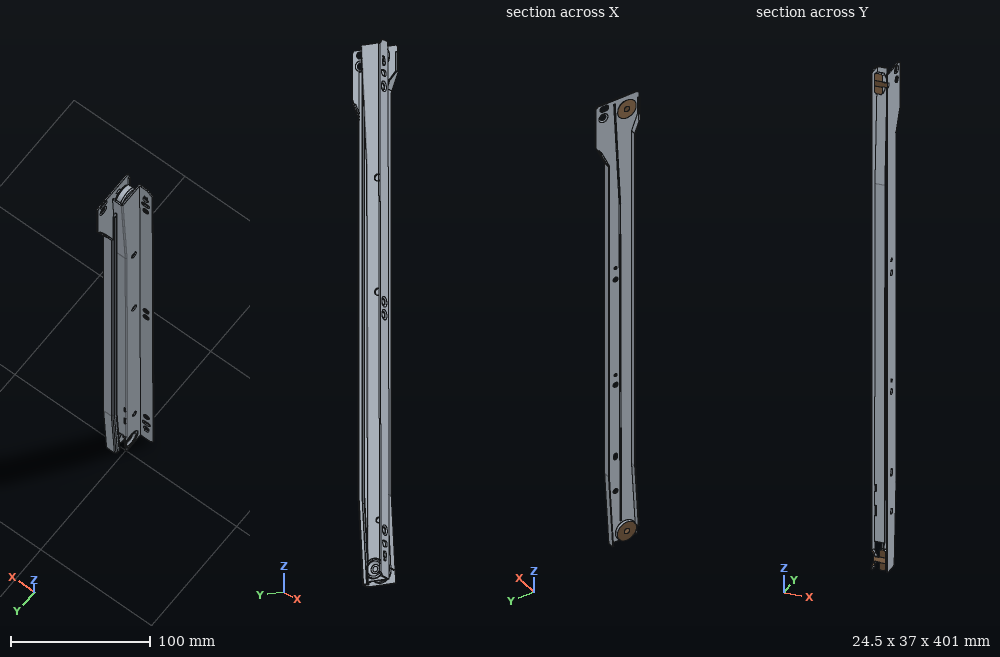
import cadquery as cq


SHEET = 1.2
LENGTH = 401.0
RAIL_START = 0.5
MID_Z = LENGTH / 2

FLANGE_Y = 1.2
WALL_X = 11.2
WALL_INNER_X = WALL_X + SHEET
LIP_X = 20.0
LIP_LOW_Y = 18.5
LIP_HIGH_Y = 23.0
LIP_RAMP_Z = 309.0
LIP_START_Z = 21.3
NIB_Z = 0.0
NIB_WIDTH = 2.0
LIP_BEND_RADIUS = 1.0
UPPER_CORNER = 4.5
LOWER_CORNER = 2.5
DRAWER_TILT = 0.14
DRAWER_TOP = 400.8

FLANGE_HOLE_X = 6.0
SCREW_RADIUS = 2.5
SINK_RADIUS = 3.8
SCREW_OFFSETS = (5.0, 165.3)
SLOT_OFFSET = 175.5
SLOT_LENGTH = 7.0
SLOT_WIDTH = 4.5
KEYHOLE_OFFSET = 183.5
KEYHOLE_RADIUS = 2.5
KEYHOLE_SLOT_WIDTH = 3.0
KEYHOLE_SLOT_LENGTH = 4.5

WALL_HOLES = ((9.2, 300.5, 2.6), (9.2, 215.5, 2.6), (9.2, 45.5, 2.0))
LIP_WINDOWS = ((64.0, 5.2), (46.0, 8.0))
LIP_WINDOW_WIDTH = 1.2

DISH_RIM_RADIUS = 7.5
DISH_RIM_DEPTH = 0.5
DISH_RADIUS = 5.5
DISH_FLOOR_RADIUS = 3.4
DISH_DEPTH = 2.0

ROLLER_Y = 13.0
ROLLER_RADIUS = 8.5
ROLLER_CHAMFER = 1.2
AXLE_RADIUS = 2.0
DRAWER_ROLLER_Z = 9.5
DRAWER_ROLLER_X = 17.5
DRAWER_ROLLER_WIDTH = 5.2
CABINET_ROLLER_Z = 392.5
CABINET_ROLLER_X = 14.0
CABINET_ROLLER_WIDTH = 6.5

WIDTH = 24.5
PLATE_X = WIDTH - SHEET
TOP_Y = 29.0
BOTTOM_Y = 5.2
HEAD_Y = 37.0
HEAD_END_Z = 364.5
HEAD_TAPER_END_Z = 347.0
HEAD_CORNER = 1.5
FOOT_Z = 381.0
FOOT_RAMP_Z = 367.5
FOOT_NARROWING_Z = 373.0
FOOT_FLANGE_X = 22.0
FOOT_FLANGE_TOP_Z = 395.5
PLATE_BEND_RADIUS = 1.2
BEND_Z = 65.8
BEND_DROP = 3.5
LOWER_FLANGE_X = 17.0
LOWER_FLANGE_START_Z = 10.0
UPPER_LIP_X = 15.5
UPPER_LIP_Y = 25.0
UPPER_LIP_TOP_Z = 382.5
UPPER_LIP_CURL = 1.2
UPPER_BEVEL = 1.5
HEAD_FLANGE_X = 20.0
HEAD_FLANGE_TOP_Y = 35.5

HEAD_SLOT_Y = 29.5
HEAD_SLOT_Z = 397.0
HEAD_SLOT_LENGTH = 7.2
HEAD_SLOT_WIDTH = 5.0
HEAD_SCREW_Y = 30.5
HEAD_SCREW_Z = 389.0
PLATE_HOLE_Y = 20.0
PLATE_HOLE_RADIUS = 2.0
PLATE_HOLE_ZS = (238.5, 143.0, 46.5)
PIN_HOLE_RADIUS = 1.2
PIN_HOLE_ZS = (248.7, 151.5)
PLATE_SLOT_Z = 78.0
PLATE_SLOT_LENGTH = 5.5
PLATE_SLOT_WIDTH = 3.0


def side_panel(points, x_start, x_end):
    """Extrude a (y, z) outline from x_start to x_end."""
    return cq.Workplane("YZ", origin=(x_start, 0, 0)).polyline(points).close().extrude(x_end - x_start)


def side_strip(path, x_start, x_end, height=SHEET):
    """Extrude a band whose lower edge is a (y, z) path and whose upper edge lies height above it."""
    upper = [(y + height, z) for y, z in reversed(path)]
    return side_panel(list(path) + upper, x_start, x_end)


def cross_cylinder(x_start, x_end, y, z, radius):
    """Cylinder along X."""
    return cq.Workplane("YZ", origin=(x_start, y, z)).circle(radius).extrude(x_end - x_start)


def cross_cone(x_start, x_end, y, z, start_radius, end_radius):
    """Cone along X."""
    cone = cq.Solid.makeCone(
        start_radius, end_radius, x_end - x_start, pnt=cq.Vector(x_start, y, z), dir=cq.Vector(1, 0, 0)
    )
    return cq.Workplane(cone)


def flange_plane(x, z):
    """Plane on the outer face of the drawer flange, with local x along X and local y along Z."""
    return cq.Workplane("XZ", origin=(x, FLANGE_Y, z))


def flange_screw_hole(z):
    through = flange_plane(FLANGE_HOLE_X, z).circle(SCREW_RADIUS).extrude(-SHEET)
    mouth = cq.Vector(FLANGE_HOLE_X, FLANGE_Y, z)
    sink = cq.Solid.makeCone(SINK_RADIUS, SCREW_RADIUS, SHEET / 2, pnt=mouth, dir=cq.Vector(0, 1, 0))
    return through.union(cq.Workplane(sink))


def flange_keyhole(z, outward):
    """Keyhole with its narrow slot pointing along Z in the outward direction, +1 or -1."""
    slot_centre = z + outward * KEYHOLE_SLOT_LENGTH / 2
    wide = flange_plane(FLANGE_HOLE_X, z).circle(KEYHOLE_RADIUS).extrude(-SHEET)
    narrow = flange_plane(FLANGE_HOLE_X, slot_centre).rect(KEYHOLE_SLOT_WIDTH, KEYHOLE_SLOT_LENGTH)
    return wide.union(narrow.extrude(-SHEET))


def drawer_flange():
    flange = flange_plane(0, 0).polyline([
        (0, RAIL_START + LOWER_CORNER),
        (LOWER_CORNER, RAIL_START),
        (WALL_INNER_X, RAIL_START),
        (WALL_INNER_X, DRAWER_TOP),
        (UPPER_CORNER, DRAWER_TOP),
        (0, DRAWER_TOP - UPPER_CORNER),
    ]).close().extrude(-SHEET)
    for side in (1, -1):
        for offset in SCREW_OFFSETS:
            flange = flange.cut(flange_screw_hole(MID_Z + side * offset))
        slot = flange_plane(FLANGE_HOLE_X, MID_Z + side * SLOT_OFFSET).slot2D(SLOT_LENGTH, SLOT_WIDTH)
        flange = flange.cut(slot.extrude(-SHEET))
        flange = flange.cut(flange_keyhole(MID_Z + side * KEYHOLE_OFFSET, side))
    return flange


def drawer_wall():
    wall = side_panel([
        (FLANGE_Y, RAIL_START),
        (LIP_LOW_Y - NIB_WIDTH, RAIL_START),
        (LIP_LOW_Y - NIB_WIDTH, NIB_Z),
        (LIP_LOW_Y, NIB_Z),
        (LIP_LOW_Y, LIP_RAMP_Z),
        (LIP_HIGH_Y, DRAWER_TOP),
        (FLANGE_Y, DRAWER_TOP),
    ], WALL_X, WALL_INNER_X)
    for y, z, radius in WALL_HOLES:
        wall = wall.cut(cross_cylinder(WALL_X, WALL_INNER_X, y, z, radius))
    return wall


def drawer_lip():
    underside = [
        (LIP_LOW_Y - SHEET, LIP_START_Z),
        (LIP_LOW_Y - SHEET, LIP_RAMP_Z),
        (LIP_HIGH_Y - SHEET, DRAWER_TOP),
    ]
    lip = side_strip(underside, WALL_X, LIP_X)
    for z, length in LIP_WINDOWS:
        window_x = WALL_INNER_X + LIP_WINDOW_WIDTH / 2
        window = cq.Workplane("XY").box(LIP_WINDOW_WIDTH, SHEET, length)
        lip = lip.cut(window.translate((window_x, LIP_LOW_Y - SHEET / 2, z)))
    return lip


def press_dish(rail):
    """Press a dish with an axle hole into the wall at the drawer roller."""
    y = ROLLER_Y
    z = DRAWER_ROLLER_Z
    floor_x = WALL_X + DISH_DEPTH
    back_x = floor_x + SHEET
    boss = cross_cone(WALL_INNER_X, back_x, y, z, DISH_RADIUS + SHEET, DISH_FLOOR_RADIUS + SHEET)
    rim = cross_cylinder(WALL_X, WALL_X + DISH_RIM_DEPTH, y, z, DISH_RIM_RADIUS)
    dish = cross_cone(WALL_X + DISH_RIM_DEPTH, floor_x, y, z, DISH_RADIUS, DISH_FLOOR_RADIUS)
    axle_hole = cross_cylinder(floor_x, back_x, y, z, AXLE_RADIUS)
    return rail.union(boss).cut(rim).cut(dish).cut(axle_hole)


def make_drawer_rail():
    rail = drawer_flange().union(drawer_wall()).union(drawer_lip())
    ramp_middle = (WALL_X, (LIP_LOW_Y + LIP_HIGH_Y) / 2, (LIP_RAMP_Z + DRAWER_TOP) / 2)
    rail = rail.edges(
        cq.selectors.NearestToPointSelector((WALL_X, LIP_LOW_Y, LIP_RAMP_Z / 2))
        + cq.selectors.NearestToPointSelector(ramp_middle)
    ).fillet(LIP_BEND_RADIUS)
    return press_dish(rail)


def cabinet_plate():
    plate = side_panel([
        (BOTTOM_Y - BEND_DROP, RAIL_START),
        (TOP_Y - BEND_DROP, RAIL_START),
        (TOP_Y, BEND_Z),
        (TOP_Y, HEAD_TAPER_END_Z),
        (HEAD_Y, HEAD_END_Z),
        (HEAD_Y, LENGTH - HEAD_CORNER),
        (HEAD_Y - HEAD_CORNER, LENGTH),
        (HEAD_CORNER, LENGTH),
        (0, LENGTH - HEAD_CORNER),
        (0, FOOT_Z),
        (BOTTOM_Y, FOOT_RAMP_Z),
        (BOTTOM_Y, BEND_Z),
    ], PLATE_X, WIDTH)
    slots = (
        (HEAD_SLOT_Y, HEAD_SLOT_Z, HEAD_SLOT_LENGTH, HEAD_SLOT_WIDTH, 0),
        (PLATE_HOLE_Y, PLATE_SLOT_Z, PLATE_SLOT_LENGTH, PLATE_SLOT_WIDTH, 90),
    )
    for y, z, length, width, angle in slots:
        slot = cq.Workplane("YZ", origin=(PLATE_X, y, z)).slot2D(length, width, angle).extrude(SHEET)
        plate = plate.cut(slot)
    for z in PLATE_HOLE_ZS:
        plate = plate.cut(cross_cylinder(PLATE_X, WIDTH, PLATE_HOLE_Y, z, PLATE_HOLE_RADIUS))
    for z in PIN_HOLE_ZS:
        plate = plate.cut(cross_cylinder(PLATE_X, WIDTH, PLATE_HOLE_Y, z, PIN_HOLE_RADIUS))
    plate = plate.cut(cross_cylinder(PLATE_X, WIDTH, HEAD_SCREW_Y, HEAD_SCREW_Z, SCREW_RADIUS))
    sink_end_x = PLATE_X + SHEET / 2
    return plate.cut(
        cross_cone(PLATE_X, sink_end_x, HEAD_SCREW_Y, HEAD_SCREW_Z, SINK_RADIUS, SCREW_RADIUS)
    )


def cabinet_lower_flange():
    """Roller track that drops below the bend and flares into the foot, where it narrows to the plate."""
    start_drop = BEND_DROP * (BEND_Z - LOWER_FLANGE_START_Z) / (BEND_Z - RAIL_START)
    flange = side_strip([
        (BOTTOM_Y - start_drop, LOWER_FLANGE_START_Z),
        (BOTTOM_Y, BEND_Z),
        (BOTTOM_Y, FOOT_RAMP_Z),
        (0, FOOT_Z),
        (0, FOOT_FLANGE_TOP_Z),
    ], LOWER_FLANGE_X, WIDTH)
    narrowing = cq.Workplane("XZ").polyline([
        (LOWER_FLANGE_X, FOOT_NARROWING_Z),
        (FOOT_FLANGE_X, FOOT_Z),
        (FOOT_FLANGE_X, FOOT_FLANGE_TOP_Z),
        (LOWER_FLANGE_X, FOOT_FLANGE_TOP_Z),
    ]).close().extrude(-TOP_Y)
    return flange.cut(narrowing)


def upper_path(y, z_end):
    """Lower edge of a band that follows the bend of the cabinet rail."""
    return [(y - BEND_DROP, RAIL_START), (y, BEND_Z), (y, z_end)]


def cabinet_upper_flange():
    """Upper flange with a bevelled corner, a hanging lip and a curled edge below the lip."""
    lip_inner_x = UPPER_LIP_X + SHEET
    bevel_y = TOP_Y - UPPER_BEVEL
    lip_height = TOP_Y - UPPER_LIP_Y
    outside = side_strip(upper_path(UPPER_LIP_Y, HEAD_TAPER_END_Z), UPPER_LIP_X, WIDTH, lip_height)
    outside = outside.edges(
        cq.selectors.NearestToPointSelector((UPPER_LIP_X, TOP_Y, MID_Z))
        + cq.selectors.NearestToPointSelector((UPPER_LIP_X, TOP_Y - BEND_DROP / 2, BEND_Z / 2))
    ).chamfer(UPPER_BEVEL)
    inside = side_strip(
        upper_path(UPPER_LIP_Y, HEAD_TAPER_END_Z), lip_inner_x, WIDTH, lip_height - SHEET
    )
    flange = outside.cut(inside)
    lip = side_strip(
        upper_path(UPPER_LIP_Y, UPPER_LIP_TOP_Z), UPPER_LIP_X, lip_inner_x, bevel_y - UPPER_LIP_Y
    )
    curl = side_strip(
        upper_path(UPPER_LIP_Y - UPPER_LIP_CURL, UPPER_LIP_TOP_Z),
        lip_inner_x - SHEET / 2,
        lip_inner_x + SHEET / 2,
        2 * UPPER_LIP_CURL,
    )
    return flange.union(lip).union(curl)


def cabinet_head_flange():
    """Stiffening flange along the tapered edge of the head."""
    taper = (HEAD_END_Z - HEAD_TAPER_END_Z) / (HEAD_Y - TOP_Y)
    top_z = HEAD_TAPER_END_Z + taper * (HEAD_FLANGE_TOP_Y - TOP_Y)
    path = [(TOP_Y - SHEET, HEAD_TAPER_END_Z), (HEAD_FLANGE_TOP_Y - SHEET, top_z)]
    return side_strip(path, HEAD_FLANGE_X, WIDTH)


def make_cabinet_rail():
    rail = cabinet_plate().union(cabinet_lower_flange())
    rail = rail.edges(
        cq.selectors.NearestToPointSelector((WIDTH, BOTTOM_Y, MID_Z))
    ).fillet(PLATE_BEND_RADIUS)
    rail = rail.union(cabinet_upper_flange()).union(cabinet_head_flange())
    return rail.cut(cross_cylinder(PLATE_X, WIDTH, ROLLER_Y, CABINET_ROLLER_Z, AXLE_RADIUS))


def make_roller(x_start, width, z):
    roller = cross_cylinder(x_start, x_start + width, ROLLER_Y, z, ROLLER_RADIUS)
    roller = roller.edges().chamfer(ROLLER_CHAMFER)
    return roller.cut(cross_cylinder(x_start, x_start + width, ROLLER_Y, z, AXLE_RADIUS))


def make_axle(x_start, x_end, z):
    return cross_cylinder(x_start, x_end, ROLLER_Y, z, AXLE_RADIUS)


def tilt(body):
    return body.rotate((0, LIP_LOW_Y, NIB_Z), (1, LIP_LOW_Y, NIB_Z), -DRAWER_TILT)


drawer_rail = tilt(make_drawer_rail())
cabinet_rail = make_cabinet_rail()

drawer_roller = tilt(make_roller(DRAWER_ROLLER_X, DRAWER_ROLLER_WIDTH, DRAWER_ROLLER_Z))
drawer_axle = tilt(make_axle(WALL_X + DISH_DEPTH, DRAWER_ROLLER_X + DRAWER_ROLLER_WIDTH, DRAWER_ROLLER_Z))
cabinet_roller = make_roller(CABINET_ROLLER_X, CABINET_ROLLER_WIDTH, CABINET_ROLLER_Z)
cabinet_axle = make_axle(CABINET_ROLLER_X, WIDTH, CABINET_ROLLER_Z)

result = cq.Compound.makeCompound([
    drawer_rail.val(),
    cabinet_rail.val(),
    drawer_roller.val(),
    drawer_axle.val(),
    cabinet_roller.val(),
    cabinet_axle.val(),
])